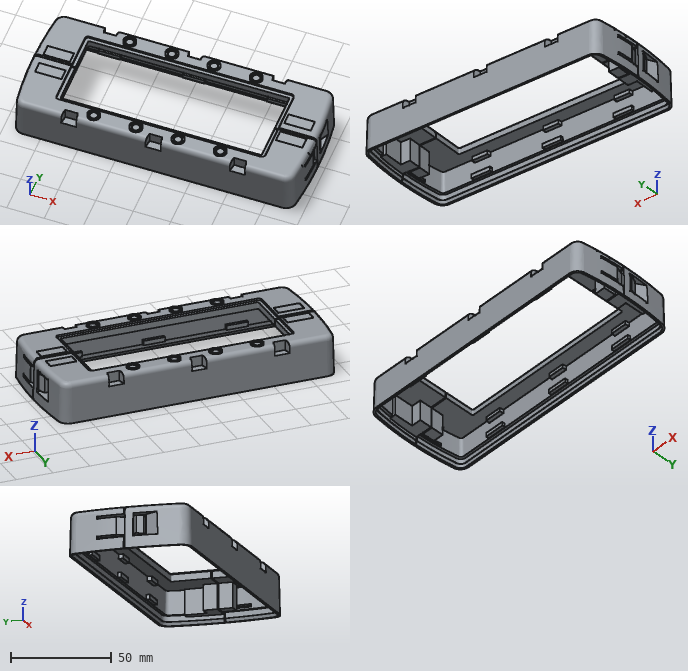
import cadquery as cq
LENGTH = 153.0
WIDTH = 64.0
HEIGHT = 22.0
RING_RISE = 0.5
END_BOW = 2.6
CORNER_RADIUS = 5.5
DRAFT_ANGLE = 1.5
TOP_FILLET = 2.8
WALL = 3.5
PLATE_UNDERSIDE = 17.3

RIM_WALL = 2.0
RIM_HEIGHT = 4.9
LIP_WALL = 1.0
LIP_HEIGHT = 1.8
LIP_ANGLE = 25.0

WINDOW_LENGTH = 107.2
WINDOW_WIDTH = 39.9
WINDOW_RADIUS = 0.6
LEDGE = 2.0
LEDGE_DEPTH = 1.0
LEDGE_RADIUS = 1.7

NOTCH_SPACING = 45.0
NOTCH_DEPTH = 4.7
NOTCH_FLOOR = 16.5
NOTCH_OUTER_WIDTH = 8.3
NOTCH_INNER_WIDTH = 6.6
NOTCH_LINING = 1.5
RING_SPACING = 22.5
RING_COUNT = 4
RING_Y = 25.7
RING_OUTER_RADIUS = 3.4
RING_INNER_RADIUS = 2.5
RING_SEAT_RADIUS = 2.0
RING_ROOT = 0.8
LABEL_LENGTH = 14.0
LABEL_WIDTH = 6.1
LABEL_X = 64.2
LABEL_Y = 6.0
LABEL_DEPTH = 0.2

PAD_LENGTH = 11.6
PAD_DEPTH = 2.0
PAD_TOP = 7.6
PAD_HEIGHT = 2.5

SEAM_Y = 1.2
SEAM_GAP = 0.6
SEAM_CHAMFER = 0.6

LATCH_BOTTOM = 6.1
LATCH_TOP = 17.9
ARM_BOTTOM = 7.5
ARM_TOP = 16.7
ARM_ROOT_Y = 15.9
ARM_STEP_Y = 5.5
ARM_INNER_X = -71.9
ARM_LAP = 1.5
ARM_LAP_X = -75.0
ARM_FLUSH_X = -75.9
ARM_SHOULDER_X = -75.3
ARM_SHOULDER_Y = 4.1
ARM_BLOCK_X = -70.4
ARM_UNDER_BRIDGE_X = -74.0
ARM_UNDER_BRIDGE_Y = 0.6
HOOK_CATCH_Y = -3.7
HOOK_CREST_Y = -4.9
HOOK_TIP_Y = -8.5
HOOK_X = -75.9
HOOK_TIP_X = -74.3
BRIDGE_Y = -3.4
BRIDGE_INNER_X = -74.6
POCKET_END_Y = -16.7
POCKET_BACK_X = -71.3
RAMP_END_Y = -8.9
RAMP_OUTER_X = -75.9
RAMP_INNER_X = -71.7
BLOCK_X = -64.0
ARM_BLOCK_END_Y = 9.0
POCKET_BLOCK_END_Y = -6.6
BLOCK_BOTTOM = 4.0
LINING_X = -69.7
LINING_END_Y = -18.4

BIG = 2 * LENGTH


def span_box(x_range, y_range, z_range):
    """Axis-aligned box from its low and high limits."""
    (x0, x1), (y0, y1), (z0, z1) = x_range, y_range, z_range
    return cq.Workplane("XY").box(x1 - x0, y1 - y0, z1 - z0, centered=False).translate((x0, y0, z0))


def prism(points, z0, z1):
    """Upright prism on a closed plan outline."""
    return cq.Workplane("XY").workplane(offset=z0).polyline(points).close().extrude(z1 - z0)


def half_turn(shape):
    return shape.rotate((0, 0, 0), (0, 0, 1), 180)


def bowed_slab(inset, height, corner_radius, draft=DRAFT_ANGLE):
    """Drafted slab with straight long sides, bowed ends and rounded corners."""
    end_x = LENGTH / 2 - inset
    side_y = WIDTH / 2 - inset
    corner_x = end_x - END_BOW
    outline = (
        cq.Sketch()
        .segment((-corner_x, -side_y), (corner_x, -side_y))
        .arc((corner_x, -side_y), (end_x, 0), (corner_x, side_y))
        .segment((corner_x, side_y), (-corner_x, side_y))
        .arc((-corner_x, side_y), (-end_x, 0), (-corner_x, -side_y))
        .assemble()
        .vertices()
        .fillet(corner_radius)
    )
    return cq.Workplane("XY").placeSketch(outline).extrude(height, taper=draft)


def outer_slab():
    return bowed_slab(0, HEIGHT, CORNER_RADIUS).faces(">Z").edges().fillet(TOP_FILLET)


def cavity():
    """Hollow below the plate, widened in two stages towards the base."""
    room = bowed_slab(WALL, PLATE_UNDERSIDE, CORNER_RADIUS - WALL)
    rim = bowed_slab(RIM_WALL, RIM_HEIGHT, CORNER_RADIUS - RIM_WALL)
    lip = bowed_slab(LIP_WALL, LIP_HEIGHT, CORNER_RADIUS - LIP_WALL, LIP_ANGLE)
    return room.union(rim).union(lip)


def window_cutter():
    opening = (
        cq.Workplane("XY")
        .rect(WINDOW_LENGTH, WINDOW_WIDTH)
        .extrude(HEIGHT)
        .edges("|Z").fillet(WINDOW_RADIUS)
    )
    ledge = (
        cq.Workplane("XY")
        .workplane(offset=HEIGHT - LEDGE_DEPTH)
        .rect(WINDOW_LENGTH + 2 * LEDGE, WINDOW_WIDTH + 2 * LEDGE)
        .extrude(LEDGE_DEPTH)
        .edges("|Z").fillet(LEDGE_RADIUS)
    )
    return opening.union(ledge)


def notch(x, extra, floor):
    """Trapezoid notch at the +Y long side, grown by extra all round."""
    root_y = WIDTH / 2 - NOTCH_DEPTH - extra
    outer_y = WIDTH / 2
    inner = NOTCH_INNER_WIDTH / 2 + extra
    outer = NOTCH_OUTER_WIDTH / 2 + extra
    points = [(x - inner, root_y), (x + inner, root_y), (x + outer, outer_y), (x - outer, outer_y)]
    return prism(points, floor, HEIGHT)


def add_notches(half, slab):
    for i in (-1, 0, 1):
        x = i * NOTCH_SPACING
        lining = notch(x, NOTCH_LINING, NOTCH_FLOOR - NOTCH_LINING).intersect(slab)
        half = half.union(lining).cut(notch(x, 0, NOTCH_FLOOR))
    return half


def add_clip_pads(half):
    wall_y = WIDTH / 2 - WALL
    for i in (-1, 0, 1):
        x = i * NOTCH_SPACING
        pad = span_box(
            (x - PAD_LENGTH / 2, x + PAD_LENGTH / 2),
            (wall_y - PAD_DEPTH, wall_y + WALL / 2),
            (PAD_TOP - PAD_HEIGHT, PAD_TOP),
        )
        half = half.union(pad)
    return half


def add_rings(half):
    """Raised rings with a conical inner wall that runs down to the top face."""
    profile = [
        (RING_SEAT_RADIUS, HEIGHT),
        (RING_INNER_RADIUS, HEIGHT + RING_RISE),
        (RING_OUTER_RADIUS, HEIGHT + RING_RISE),
        (RING_OUTER_RADIUS, HEIGHT - RING_ROOT),
        (RING_SEAT_RADIUS, HEIGHT - RING_ROOT),
    ]
    ring = cq.Workplane("XZ").polyline(profile).close().revolve(360, (0, 0, 0), (0, 1, 0))
    for i in range(RING_COUNT):
        x = (i - (RING_COUNT - 1) / 2) * RING_SPACING
        half = half.union(ring.translate((x, RING_Y, 0)))
    return half


def cut_labels(half):
    for x in (-LABEL_X, LABEL_X):
        label = span_box(
            (x - LABEL_LENGTH / 2, x + LABEL_LENGTH / 2),
            (LABEL_Y - LABEL_WIDTH / 2, LABEL_Y + LABEL_WIDTH / 2),
            (HEIGHT - LABEL_DEPTH, HEIGHT),
        )
        half = half.cut(label)
    return half


def half_space():
    """Room on the +Y side of the stepped seam."""
    gap = SEAM_GAP / 2
    left = span_box((-BIG, 0), (SEAM_Y + gap, BIG), (-BIG, BIG))
    right = span_box((0, BIG), (-SEAM_Y + gap, BIG), (-BIG, BIG))
    return left.union(right)


def seam_chamfer():
    """Small bevel along the top edge of the seam at the -X end."""
    y = SEAM_Y + SEAM_GAP / 2
    return (
        cq.Workplane("YZ")
        .workplane(offset=-LENGTH / 2)
        .polyline([(y, HEIGHT), (y + SEAM_CHAMFER, HEIGHT), (y, HEIGHT - SEAM_CHAMFER)])
        .close()
        .extrude(LENGTH / 2)
    )


def latch_blocks():
    """Backing blocks behind the latch: arm side at -X, pocket side at +X."""
    z_range = (BLOCK_BOTTOM, PLATE_UNDERSIDE)
    arm_block = span_box((ARM_BLOCK_X, BLOCK_X), (0, ARM_BLOCK_END_Y), z_range)
    pocket_block = span_box((-LENGTH / 2, BLOCK_X), (POCKET_BLOCK_END_Y, 2 * SEAM_Y), z_range)
    lining = span_box((-LENGTH / 2, LINING_X), (LINING_END_Y, 0), z_range)
    return arm_block.union(half_turn(pocket_block.union(lining)))


def pocket_cutter():
    """Pocket that takes the hook: open outside beyond the bridge, closed by a ramp."""
    outside = -LENGTH
    points = [
        (BRIDGE_INNER_X, 2 * SEAM_Y),
        (BRIDGE_INNER_X, BRIDGE_Y),
        (outside, BRIDGE_Y),
        (outside, POCKET_END_Y),
        (RAMP_OUTER_X, POCKET_END_Y),
        (RAMP_INNER_X, RAMP_END_Y),
        (POCKET_BACK_X, RAMP_END_Y),
        (POCKET_BACK_X, 2 * SEAM_Y),
    ]
    return half_turn(prism(points, LATCH_BOTTOM, LATCH_TOP))


def arm_clearance():
    """Slits above and below the arm, and the space in front of its step."""
    z_range = (LATCH_BOTTOM, LATCH_TOP)
    whole = span_box((-LENGTH, ARM_BLOCK_X), (0, ARM_ROOT_Y), z_range)
    arm = span_box((-LENGTH, ARM_BLOCK_X), (ARM_STEP_Y, ARM_ROOT_Y), (ARM_BOTTOM, ARM_TOP))
    return whole.cut(arm)


def latch_hook():
    """Tip of the arm: steps in to pass under the bridge and ends in a hook."""
    points = [
        (ARM_INNER_X, ARM_STEP_Y + ARM_LAP),
        (ARM_LAP_X, ARM_STEP_Y + ARM_LAP),
        (ARM_FLUSH_X, ARM_STEP_Y),
        (ARM_SHOULDER_X, ARM_SHOULDER_Y),
        (ARM_UNDER_BRIDGE_X, ARM_UNDER_BRIDGE_Y),
        (ARM_UNDER_BRIDGE_X, HOOK_CATCH_Y),
        (HOOK_X, HOOK_CATCH_Y),
        (HOOK_X, HOOK_CREST_Y),
        (HOOK_TIP_X, HOOK_TIP_Y),
        (ARM_INNER_X, HOOK_TIP_Y),
    ]
    return prism(points, ARM_BOTTOM, ARM_TOP)


def frame_half():
    """Half of the frame on the +Y side: latch arm at -X, latch pocket at +X."""
    slab = outer_slab()
    shell = slab.cut(cavity())
    shell = shell.union(latch_blocks().intersect(slab)).cut(window_cutter())
    half = shell.intersect(half_space())
    half = add_clip_pads(half)
    half = add_notches(half, slab)
    half = add_rings(half)
    half = cut_labels(half)
    half = half.cut(seam_chamfer()).cut(pocket_cutter()).cut(arm_clearance())
    return half.union(latch_hook())


back_half = frame_half()
front_half = half_turn(back_half)

result = cq.Compound.makeCompound([back_half.val(), front_half.val()])